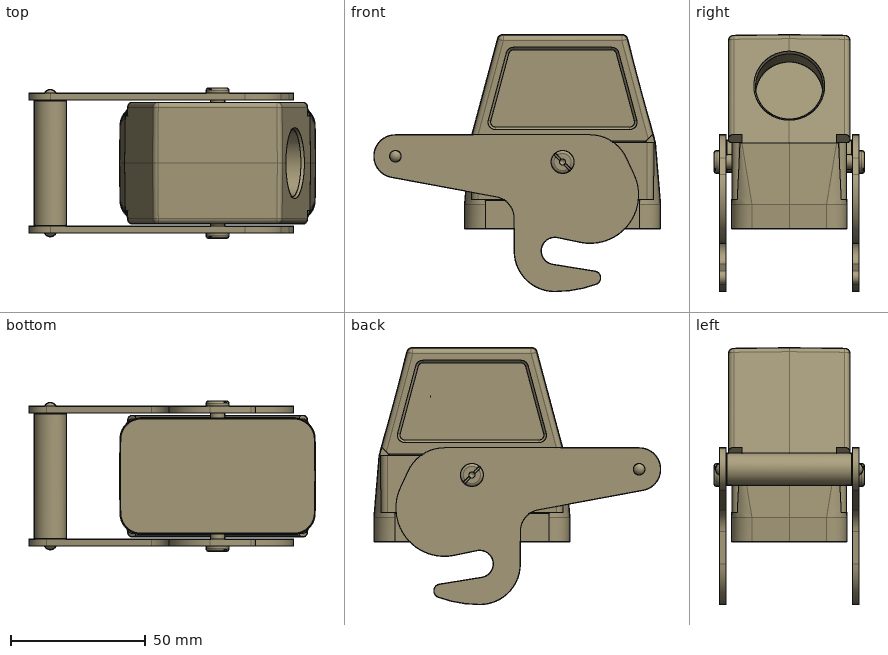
import cadquery as cq
import math


base_half_length = 36.4
base_half_width = 21.5
base_corner_radius = 7.8
base_height = 9.0
base_bottom_chamfer = 0.3
sill_z = 11.1
sill_bevel_height = 0.5
flare_top_z = 32.0
flare_top_half_width = 18.4
flare_corner_radius = 0.9

hood_top_z = 72.1
hood_top_half_length = 23.7
hood_half_width = 22.5
end_slope = 15.0
ridge_height = 0.27
hood_edge_radius = 2.0
hood_skirt_z = 32.1
skirt_bevel = 0.6
skirt_corner_z = 35.3
core_half_width = 17.5

neck_half_length = 33.8
neck_half_width = 21.3
neck_corner_radius = 2.5

recess_top_z = 67.4
recess_bottom_z = 36.9
recess_margin = 4.7
recess_corner_radius = 2.8
recess_depth = 1.0

entry_z = 53.1
entry_diameter = 25.0
entry_depth = 12.8
entry_chamfer_depth = 1.2
entry_chamfer_width = 0.7

plate_inner_y = 23.4
plate_thickness = 2.5
plate_outer_y = plate_inner_y + plate_thickness
handle_x = -62.0
handle_z = 27.0
handle_end_radius = 8.0
handle_taper = 10.5
armpit_radius = 8.1
slot_x = -2.9
slot_z = -8.1
slot_radius = 5.0
hook_radius = 15.1
tip_x = 11.6
tip_z = -18.1
tip_radius = 2.5
lobe_x = 10.2
lobe_z = 12.6
lobe_radius = 18.0
shoulder_radius = 14.8

roller_diameter = 12.0
collar_diameter = 11.4
roller_half_length = 23.1
rivet_diameter = 4.3
rivet_height = 1.4

pivot_z = 24.9
pivot_diameter = 5.4
pivot_hole_diameter = 5.6
screw_span = 55.8
screw_outer_y = screw_span / 2
screw_head_diameter = 8.5
screw_head_rounding = 1.1
screw_slot_width = 0.9
screw_slot_depth = 0.6
screw_slot_angle = 45.0
dimple_diameter = 2.2
dimple_depth = 0.6


def end_wall_x(z):
    """Half length of the hood at height z, measured on the middle plane."""
    return hood_top_half_length + (hood_top_z - z) * math.tan(math.radians(end_slope))


def both_sides(shape):
    """Join a shape on the +Y side with its mirror image."""
    return shape.union(shape.mirror("XZ"))


def xz_prism(points, half_width):
    """Extrude a closed XZ outline symmetrically about the middle plane."""
    return cq.Workplane("XZ").polyline(points).close().extrude(half_width, both=True)


def y_cylinder(x, z, diameter, y_start, y_end):
    """Cylinder parallel to Y."""
    return (
        cq.Workplane("XZ", origin=(x, y_start, z))
        .circle(diameter / 2)
        .extrude(y_start - y_end)
    )


def ridged_outline(half_length, half_width, corner_radius, z):
    """Rectangle whose ends are slightly pointed in the middle, with round corners."""
    side_x = half_length - ridge_height
    points = [
        (half_length, 0),
        (side_x, half_width),
        (-side_x, half_width),
        (-half_length, 0),
        (-side_x, -half_width),
        (side_x, -half_width),
    ]
    sketch = cq.Sketch().polygon(points + points[:1])
    sketch = sketch.vertices(">Y or <Y").fillet(corner_radius).reset()
    return sketch.moved(cq.Location(cq.Vector(0, 0, z)))


def make_base():
    bottom = ridged_outline(base_half_length, base_half_width, base_corner_radius, 0)
    base = cq.Workplane("XY").placeSketch(bottom).extrude(base_height)
    base = base.faces("<Z").chamfer(base_bottom_chamfer)
    flare_start = ridged_outline(
        base_half_length, base_half_width, base_corner_radius, base_height
    )
    flare_end = ridged_outline(
        end_wall_x(flare_top_z), flare_top_half_width, flare_corner_radius, flare_top_z
    )
    flare = cq.Workplane("XY").placeSketch(flare_start, flare_end).loft(ruled=True)
    sill = (
        cq.Workplane("XY")
        .rect(2 * (base_half_length - base_corner_radius), 2 * base_half_width)
        .extrude(sill_z)
        .edges("|X and >Z")
        .chamfer(sill_bevel_height, base_half_width - neck_half_width)
        .edges("|X and <Z")
        .chamfer(base_bottom_chamfer)
    )
    return base.union(flare).union(sill)


def make_hood_block():
    """Hood with sloping ends, carried down past the skirt, its upper edges rounded."""
    outline = [
        (-end_wall_x(base_height), base_height),
        (end_wall_x(base_height), base_height),
        (hood_top_half_length, hood_top_z),
        (-hood_top_half_length, hood_top_z),
    ]
    ridge_angle = math.degrees(math.atan(ridge_height / hood_half_width))
    half = cq.Workplane("XZ").polyline(outline).close().extrude(-hood_half_width, taper=ridge_angle)

    def is_rounded(edge):
        middle = edge.Center()
        return middle.z > hood_skirt_z and middle.y > hood_edge_radius

    return both_sides(half.edges().filter(is_rounded).fillet(hood_edge_radius))


def make_hood():
    """Overhanging hood sides on a narrower core that runs down to the flare."""
    block = make_hood_block()
    skirt_corner_x = end_wall_x(skirt_corner_z)
    skirt_bottom_x = skirt_corner_x - (skirt_corner_z - hood_skirt_z)
    skirt_outline = [
        (skirt_bottom_x, hood_skirt_z),
        (skirt_corner_x, skirt_corner_z),
        (skirt_corner_x, hood_top_z),
        (-skirt_corner_x, hood_top_z),
        (-skirt_corner_x, skirt_corner_z),
        (-skirt_bottom_x, hood_skirt_z),
    ]
    skirted = block.intersect(xz_prism(skirt_outline, hood_half_width))
    skirted = skirted.faces("<Z").edges("|X").chamfer(skirt_bevel)

    core_height = hood_top_z - flare_top_z
    core_box = (
        cq.Workplane("XY", origin=(0, 0, flare_top_z))
        .rect(2 * base_half_length, 2 * core_half_width)
        .extrude(core_height)
    )
    neck_box = (
        cq.Workplane("XY", origin=(0, 0, sill_z))
        .rect(2 * neck_half_length, 2 * neck_half_width)
        .extrude(hood_skirt_z - sill_z)
        .edges("|Z")
        .fillet(neck_corner_radius)
    )
    return skirted.union(block.intersect(core_box)).union(block.intersect(neck_box))


def make_label_recesses():
    """Trapezoid pockets with 45 degree walls, one in each side of the hood."""
    bottom_x = end_wall_x(recess_bottom_z) - recess_margin
    top_x = end_wall_x(recess_top_z) - recess_margin
    outline = [
        (-bottom_x, recess_bottom_z),
        (bottom_x, recess_bottom_z),
        (top_x, recess_top_z),
        (-top_x, recess_top_z),
    ]
    sketch = cq.Sketch().polygon(outline + outline[:1]).vertices().fillet(recess_corner_radius)
    pocket = (
        cq.Workplane("XZ", origin=(0, hood_half_width, 0))
        .placeSketch(sketch)
        .extrude(recess_depth, taper=45)
    )
    return both_sides(pocket)


def make_cable_entry():
    """Blind hole with a chamfered rim, square to the +X end wall."""
    tilt = math.radians(end_slope)
    wall = cq.Plane(
        origin=(end_wall_x(entry_z), 0, entry_z),
        xDir=(0, 1, 0),
        normal=(math.cos(tilt), 0, math.sin(tilt)),
    )
    radius = entry_diameter / 2
    rim_radius = radius + entry_chamfer_width
    section = cq.Plane(origin=wall.origin, xDir=wall.xDir, normal=wall.yDir.multiply(-1))
    return (
        cq.Workplane(section)
        .polyline([
            (0, entry_chamfer_depth),
            (rim_radius, entry_chamfer_depth),
            (rim_radius, 0),
            (radius, -entry_chamfer_depth),
            (radius, -entry_depth),
            (0, -entry_depth),
        ])
        .close()
        .revolve(360, (0, 0, 0), (0, 1, 0))
    )


def make_pivot_screw():
    """Shaft and slotted head on the +Y side."""
    shaft = y_cylinder(0, pivot_z, pivot_diameter, core_half_width, plate_outer_y)
    head = y_cylinder(0, pivot_z, screw_head_diameter, plate_outer_y, screw_outer_y)
    head = head.faces(">Y").edges().fillet(screw_head_rounding)
    slot = (
        cq.Workplane("XZ", origin=(0, screw_outer_y, pivot_z))
        .transformed(rotate=(0, 0, -screw_slot_angle))
        .rect(2 * screw_head_diameter, screw_slot_width)
        .extrude(screw_slot_depth)
    )
    slot_floor_y = screw_outer_y - screw_slot_depth
    dimple = y_cylinder(0, pivot_z, dimple_diameter, slot_floor_y, screw_outer_y)
    dimple_point = cq.Solid.makeCone(
        dimple_diameter / 2,
        0,
        dimple_depth,
        cq.Vector(0, slot_floor_y, pivot_z),
        cq.Vector(0, -1, 0),
    )
    return shaft.union(head).cut(slot).cut(dimple).cut(cq.Workplane(dimple_point))


def make_housing():
    housing = make_base().union(make_hood())
    housing = housing.cut(make_label_recesses()).cut(make_cable_entry())
    return housing.union(both_sides(make_pivot_screw()))


def tangent_heading(first, second):
    """Heading of the line leaving one directed circle and joining the next.

    A circle is (x, z, radius); a negative radius is travelled clockwise.
    """
    dx = second[0] - first[0]
    dz = second[1] - first[1]
    offset = (first[2] - second[2]) / math.hypot(dx, dz)
    return math.atan2(dz, dx) + math.asin(max(-1, min(1, offset)))


def point_on(circle, heading):
    """Point of a directed circle where the travel has the given heading."""
    x, z, radius = circle
    return (x + radius * math.sin(heading), z - radius * math.cos(heading))


def tangent_outline(circles):
    """Closed XZ outline of arcs on the directed circles, joined by tangent lines."""
    headings = [
        tangent_heading(circle, circles[(i + 1) % len(circles)])
        for i, circle in enumerate(circles)
    ]
    end = point_on(circles[0], headings[-1])
    outline = cq.Workplane("XZ").moveTo(*end)
    for i, circle in enumerate(circles):
        entry = headings[i - 1]
        turn = (headings[i] - entry) % (2 * math.pi)
        if circle[2] < 0:
            turn -= 2 * math.pi
        start = point_on(circle, entry)
        if math.dist(start, end) > 0.001:
            outline = outline.lineTo(*start)
        end = point_on(circle, entry + turn)
        outline = outline.threePointArc(point_on(circle, entry + turn / 2), end)
    return outline.close()


def make_lever_plate():
    """Side plate on the +Y side: arm, cam lobe and hook, with the pivot hole."""
    slope = math.radians(handle_taper)
    armpit_x = slot_x - hook_radius - armpit_radius
    armpit_z = (
        handle_z
        - (handle_end_radius + armpit_radius) / math.cos(slope)
        - (armpit_x - handle_x) * math.tan(slope)
    )
    hook_bottom_z = slot_z - hook_radius
    tip_rise = tip_z - hook_bottom_z
    belly_run = tip_x - slot_x
    belly_radius = (belly_run**2 + tip_rise**2 - tip_radius**2) / (2 * (tip_rise - tip_radius))
    shoulder_z = handle_z + handle_end_radius - shoulder_radius

    outline = tangent_outline([
        (handle_x, handle_z, handle_end_radius),
        (armpit_x, armpit_z, -armpit_radius),
        (slot_x, slot_z, hook_radius),
        (slot_x, hook_bottom_z + belly_radius, belly_radius),
        (tip_x, tip_z, tip_radius),
        (slot_x, slot_z, -slot_radius),
        (lobe_x, lobe_z, lobe_radius),
        (lobe_x, shoulder_z, shoulder_radius),
    ])
    plate = outline.extrude(-plate_thickness).translate((0, plate_inner_y, 0))
    return plate.cut(y_cylinder(0, pivot_z, pivot_hole_diameter, plate_inner_y, plate_outer_y))


def make_rivet_head():
    """Domed rivet head on the outer face of the +Y plate."""
    rivet_radius = rivet_diameter / 2
    sphere_radius = (rivet_radius**2 + rivet_height**2) / (2 * rivet_height)
    sphere = cq.Workplane("XY").sphere(sphere_radius).translate(
        (handle_x, plate_outer_y + rivet_height - sphere_radius, handle_z)
    )
    clip = y_cylinder(handle_x, handle_z, rivet_diameter, plate_outer_y, plate_outer_y + rivet_height)
    return sphere.intersect(clip)


def make_lever():
    roller = y_cylinder(handle_x, handle_z, roller_diameter, -roller_half_length, roller_half_length)
    collar = y_cylinder(handle_x, handle_z, collar_diameter, -plate_inner_y, plate_inner_y)
    side = make_lever_plate().union(make_rivet_head())
    return roller.union(collar).union(both_sides(side))


housing = make_housing()
lever = make_lever()
result = cq.Compound.makeCompound([housing.solids().val(), lever.solids().val()])